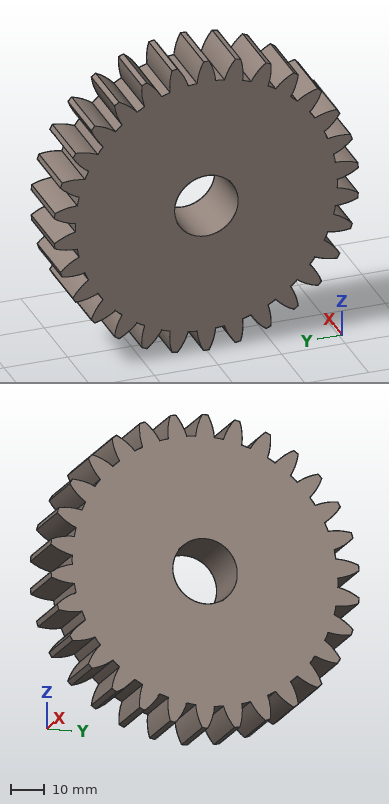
import cadquery as cq
import math

tooth_count = 30
outer_diameter = 96.0
face_width = 20.0
bore_diameter = 20.0

foot_width = 5.9
pitch_width = 4.3
tip_width = 1.7

module = outer_diameter / (tooth_count + 2)
outer_radius = outer_diameter / 2
pitch_radius = outer_radius - module
root_radius = pitch_radius - 1.25 * module
tooth_pitch_angle = 2 * math.pi / tooth_count


def half_angle(width, radius):
    """Half of the angle spanned by a chord of the given width."""
    return math.asin(width / 2 / radius)


foot_half_angle = half_angle(foot_width, root_radius)
pitch_half_angle = half_angle(pitch_width, pitch_radius)
tip_half_angle = half_angle(tip_width, outer_radius)


def polar(radius, angle):
    return (radius * math.cos(angle), radius * math.sin(angle))


def add_tooth(outline, center_angle):
    """Draw one tooth, starting at its foot, and the root arc that leads to the next tooth."""
    next_foot_angle = center_angle + tooth_pitch_angle - foot_half_angle
    return (
        outline.threePointArc(
            polar(pitch_radius, center_angle - pitch_half_angle),
            polar(outer_radius, center_angle - tip_half_angle),
        )
        .threePointArc(
            polar(outer_radius, center_angle),
            polar(outer_radius, center_angle + tip_half_angle),
        )
        .threePointArc(
            polar(pitch_radius, center_angle + pitch_half_angle),
            polar(root_radius, center_angle + foot_half_angle),
        )
        .threePointArc(
            polar(root_radius, center_angle + tooth_pitch_angle / 2),
            polar(root_radius, next_foot_angle),
        )
    )


first_tooth_angle = math.pi / 2
outline = cq.Workplane("YZ").workplane(offset=-face_width / 2)
outline = outline.moveTo(*polar(root_radius, first_tooth_angle - foot_half_angle))
for tooth in range(tooth_count):
    outline = add_tooth(outline, first_tooth_angle + tooth * tooth_pitch_angle)
gear = outline.close().extrude(face_width)

result = gear.faces(">X").workplane(origin=(0, 0, 0)).hole(bore_diameter)